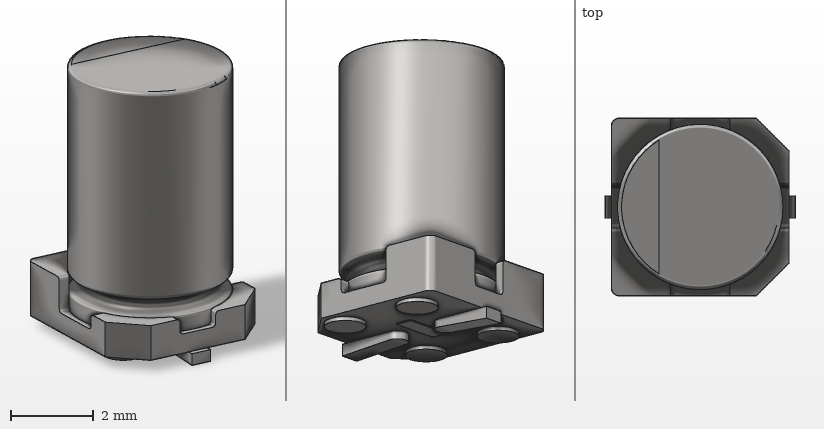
import cadquery as cq
import math


total_height = 7.0
lead_span = 4.6

base_width = 4.3
base_bottom = 0.3
base_top = 1.7
low_top = 1.2
seat_level = 0.8
corner_radius = 0.195
corner_chamfer = 0.8
front_slot_width = 1.43
side_slot_width = 1.02
slot_fillet = 0.105
slot_top_fillet = 0.1

can_radius = 4.0 / 2
rim_radius = 0.1
groove_radius = 0.2
groove_level = 1.45

mark_edge_x = -1.0
mark_depth = 0.05

foot_diameter = 1.0
foot_height = 0.1
foot_x = 1.15
foot_y = 1.5
pad_length_x = 0.45
pad_length_y = 1.33
pad_height = 0.03

lead_width = 0.53
lead_inner_x = 0.505
lead_inner_bottom = 0.1

half_base = base_width / 2
base_height = base_top - base_bottom
rim_centre = can_radius - rim_radius
groove_top = groove_level + groove_radius
groove_bottom = groove_level - groove_radius
cut_margin = 0.07
diagonal = math.sqrt(0.5)


def mark_blank():
    """Circular segment let into the -X side of the can's top face."""
    disc = cq.Workplane("XY").workplane(offset=total_height - mark_depth).circle(rim_centre).extrude(mark_depth)
    keep_length = rim_centre + mark_edge_x
    keep = (
        cq.Workplane("XY", origin=(mark_edge_x - keep_length / 2, 0, total_height - mark_depth))
        .rect(keep_length, 2 * rim_centre)
        .extrude(mark_depth)
    )
    return disc.intersect(keep)


def make_can():
    """Revolved can with rounded rims and a crimped groove, recessed for the mark."""
    rim_mid = rim_centre + rim_radius * diagonal
    rim_rise = rim_radius * diagonal
    top_rim = total_height - rim_radius
    upper_lip = groove_top + rim_radius
    lower_lip = groove_bottom - rim_radius
    body = (
        cq.Workplane("XZ")
        .moveTo(0, seat_level)
        .lineTo(can_radius, seat_level)
        .lineTo(can_radius, lower_lip)
        .threePointArc((rim_mid, lower_lip + rim_rise), (rim_centre, groove_bottom))
        .threePointArc((rim_centre - groove_radius, groove_level), (rim_centre, groove_top))
        .threePointArc((rim_mid, upper_lip - rim_rise), (can_radius, upper_lip))
        .lineTo(can_radius, top_rim)
        .threePointArc((rim_mid, top_rim + rim_rise), (rim_centre, total_height))
        .lineTo(0, total_height)
        .close()
        .revolve(360, (0, 0, 0), (0, 1, 0))
    )
    return body.cut(mark_blank()).solids()


def slot_profile(plane, width, left_top, right_top):
    """Closed slot outline with a rounded floor and walls rounded into the tops on both sides."""
    half = width / 2
    outer = half + slot_top_fillet
    open_top = base_top + cut_margin
    return (
        cq.Workplane(plane)
        .moveTo(-outer, open_top)
        .lineTo(-outer, left_top)
        .radiusArc((-half, left_top - slot_top_fillet), slot_top_fillet)
        .lineTo(-half, seat_level + slot_fillet)
        .radiusArc((-half + slot_fillet, seat_level), -slot_fillet)
        .lineTo(half - slot_fillet, seat_level)
        .radiusArc((half, seat_level + slot_fillet), -slot_fillet)
        .lineTo(half, right_top - slot_top_fillet)
        .radiusArc((outer, right_top), slot_top_fillet)
        .lineTo(outer, open_top)
        .close()
    )


def make_base():
    """Base with a can seat, crossing slots, a lowered +X side, feet and a bottom pad."""
    block = cq.Workplane("XY").box(base_width, base_width, base_height, centered=(True, True, False))
    block = block.translate((0, 0, base_bottom))
    block = block.edges("|Z and <X").fillet(corner_radius)
    block = block.edges("|Z and >X").chamfer(corner_chamfer)

    step_start = front_slot_width / 2 + slot_top_fillet
    lowered = (
        cq.Workplane("XY")
        .box(base_width, base_width + cut_margin, base_height, centered=(False, True, False))
        .translate((step_start, 0, low_top))
    )
    block = block.cut(lowered)

    slot_reach = half_base + cut_margin
    block = block.cut(slot_profile("XZ", front_slot_width, base_top, low_top).extrude(slot_reach, both=True))
    for direction, top in ((-1, base_top), (1, low_top)):
        block = block.cut(slot_profile("YZ", side_slot_width, top, top).extrude(direction * slot_reach))

    seat = cq.Workplane("XY").workplane(offset=seat_level).circle(can_radius).extrude(base_height)
    block = block.cut(seat)

    underside = cq.Workplane("XY").workplane(offset=base_bottom)
    feet_places = [(x, y) for x in (-foot_x, foot_x) for y in (-foot_y, foot_y)]
    feet = underside.pushPoints(feet_places).circle(foot_diameter / 2).extrude(-foot_height)
    pad = underside.rect(pad_length_x, pad_length_y).extrude(-pad_height)
    return block.union(feet).union(pad).solids()


def make_lead(direction):
    """Lead under the base, thickening outward, with a rounded inner end; direction is the sign of X."""
    tip_radius = lead_width / 2
    outer_x = lead_span / 2
    round_start = lead_inner_x + tip_radius
    blade = (
        cq.Workplane("XZ")
        .moveTo(direction * round_start, base_bottom)
        .lineTo(direction * outer_x, base_bottom)
        .lineTo(direction * outer_x, 0)
        .lineTo(direction * round_start, lead_inner_bottom)
        .close()
        .extrude(tip_radius, both=True)
    )
    tip = (
        cq.Workplane("XY")
        .workplane(offset=lead_inner_bottom)
        .moveTo(direction * round_start, -tip_radius)
        .threePointArc((direction * lead_inner_x, 0), (direction * round_start, tip_radius))
        .close()
        .extrude(base_bottom - lead_inner_bottom)
    )
    return blade.union(tip).solids()


can = make_can()
mark = mark_blank()
base = make_base()
leads = [make_lead(direction) for direction in (-1, 1)]

result = cq.Compound.makeCompound([can.val(), mark.val(), base.val(), *[lead.val() for lead in leads]])